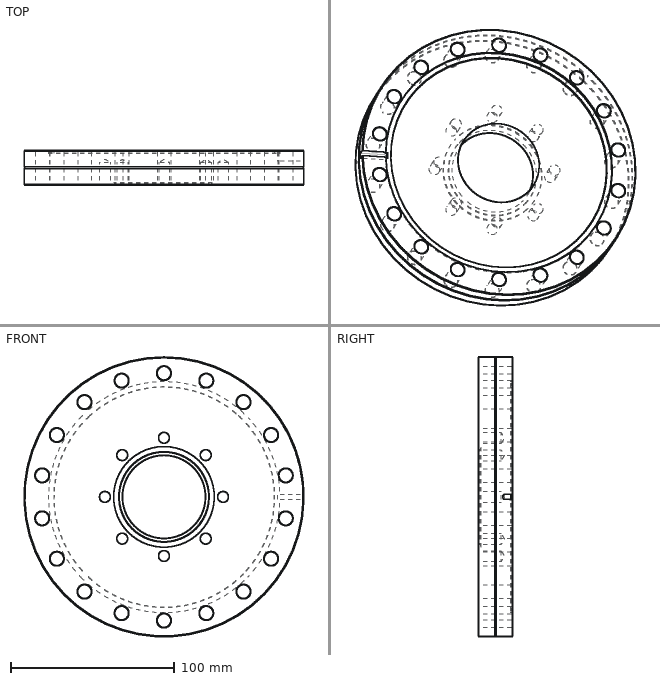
import cadquery as cq
import math

outer_diameter = 171.5
thickness = 21.3
bore_diameter = 50.8
rim_chamfer = 0.5

rim_groove_width = 1.0
rim_groove_depth = 0.25

bolt_count = 18
bolt_diameter = 8.4
bolt_chamfer = 0.25
bolt_circle_diameter = 151.6

tapped_count = 8
tapped_diameter = 6.65
tapped_circle_diameter = 72.4
tapped_depth = 14.0
drill_point_angle = 118.0

front_seat_diameter = 61.72
back_seat_diameter = 141.8
seat_floor_width = 3.16
seat_slope = 20.0
knife_taper = 0.25
knife_drop = 0.6
inner_land_drop = 1.3

notch_width = 3.2
notch_depth = 6.2

outer_radius = outer_diameter / 2
bore_radius = bore_diameter / 2
front_y = -thickness / 2
back_y = thickness / 2
notch_inner_x = back_seat_diameter / 2 - seat_floor_width / 2


def revolve_about_y(points):
    """Revolve a closed (radius, y) outline about the Y axis."""
    profile = [(y, radius) for radius, y in points]
    return cq.Workplane("YZ").polyline(profile).close().revolve(360, (0, 0, 0), (1, 0, 0))


def ring_of(cutter, count, circle_diameter):
    """Repeat a cutter on a circle about the Y axis, the first one straight up (+Z)."""
    first = cutter.translate((0, 0, circle_diameter / 2))
    ring = cq.Workplane("XZ")
    for index in range(count):
        ring = ring.add(first.rotate((0, 0, 0), (0, 1, 0), index * 360 / count))
    return ring.combine()


def make_disc():
    """Chamfered disc with the centre bore and the groove around its rim."""
    groove_half = rim_groove_width / 2
    groove_radius = outer_radius - rim_groove_depth
    return revolve_about_y([
        (bore_radius, front_y),
        (outer_radius - rim_chamfer, front_y),
        (outer_radius, front_y + rim_chamfer),
        (outer_radius, -groove_half),
        (groove_radius, -groove_half),
        (groove_radius, groove_half),
        (outer_radius, groove_half),
        (outer_radius, back_y - rim_chamfer),
        (outer_radius - rim_chamfer, back_y),
        (bore_radius, back_y),
    ])


def make_front_seat(seat_diameter):
    """Cutter for a gasket seat in the front face."""
    seat_radius = seat_diameter / 2
    knife_radius = seat_radius - seat_floor_width
    knife_y = front_y + knife_drop
    shoulder_y = knife_y + seat_floor_width * math.tan(math.radians(seat_slope))
    land_y = front_y + inner_land_drop
    return revolve_about_y([
        (0, front_y),
        (seat_radius, front_y),
        (seat_radius, shoulder_y),
        (knife_radius, knife_y),
        (knife_radius - knife_taper, land_y),
        (0, land_y),
    ])


def make_back_seat(seat_diameter):
    """Cutter for a gasket seat in the back face, a mirror image of the front one."""
    return make_front_seat(seat_diameter).mirror("XZ")


def make_bolt_holes():
    """Cutter for the ring of through holes, chamfered at both mouths."""
    radius = bolt_diameter / 2
    mouth_radius = radius + bolt_chamfer
    drill = revolve_about_y([
        (0, front_y),
        (mouth_radius, front_y),
        (radius, front_y + bolt_chamfer),
        (radius, back_y - bolt_chamfer),
        (mouth_radius, back_y),
        (0, back_y),
    ])
    return ring_of(drill, bolt_count, bolt_circle_diameter)


def make_tapped_holes():
    """Cutter for the ring of blind holes, each ending in a drill-point cone."""
    radius = tapped_diameter / 2
    cone_height = radius / math.tan(math.radians(drill_point_angle / 2))
    shoulder_y = front_y + tapped_depth
    drill = revolve_about_y([
        (0, front_y),
        (radius, front_y),
        (radius, shoulder_y),
        (0, shoulder_y + cone_height),
    ])
    return ring_of(drill, tapped_count, tapped_circle_diameter)


def make_leak_notch():
    """Cutter for the leak-check notch with a half-round bottom."""
    half_width = notch_width / 2
    bottom_y = back_y - notch_depth
    round_y = bottom_y + half_width
    return (
        cq.Workplane("YZ", origin=(notch_inner_x, 0, 0))
        .moveTo(back_y, -half_width)
        .lineTo(round_y, -half_width)
        .threePointArc((bottom_y, 0), (round_y, half_width))
        .lineTo(back_y, half_width)
        .close()
        .extrude(outer_diameter - notch_inner_x)
    )


result = (
    make_disc()
    .cut(make_front_seat(front_seat_diameter))
    .cut(make_back_seat(back_seat_diameter))
    .cut(make_bolt_holes())
    .cut(make_tapped_holes())
    .cut(make_leak_notch())
)